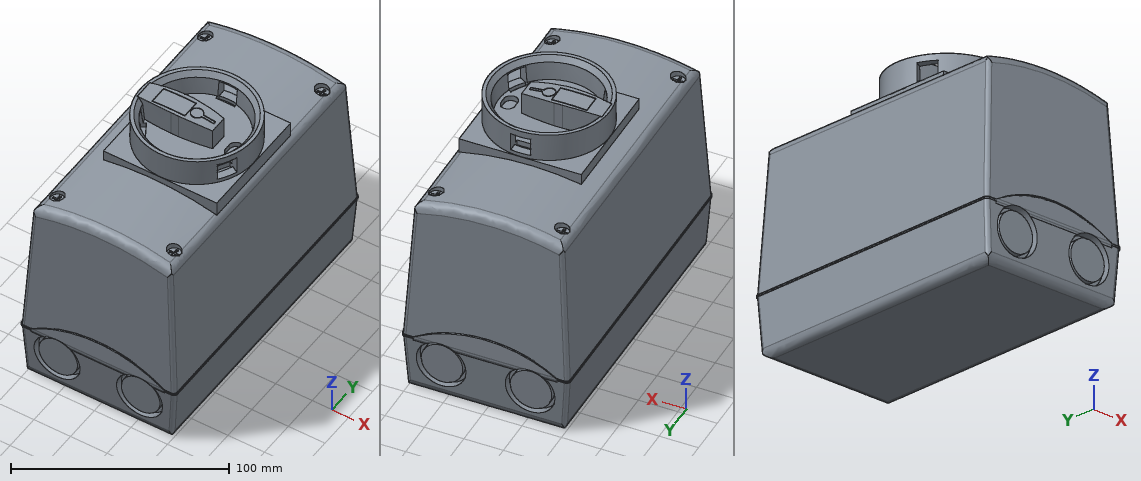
import cadquery as cq

clearance = 1.5

base_floor_half = (40.0, 75.9)
seam_half = (42.1, 77.2)
cover_top_half = (37.5, 73.6)
seam_bottom = 30.0
seam_top = 31.0
crown_height = 110.0
crown_radius = 142.5
corner_radius = 2.0
edge_radius = 4.6

lip_overhang = (0.39, 0.3)
lip_half = (seam_half[0] + lip_overhang[0], seam_half[1] + lip_overhang[1])

tongue_half_width = 36.4
tongue_height = 41.7
tongue_bottom = 29.0
tongue_step = 31.5
tongue_thickness = 3.1
slit_width = 0.8
slit_depth = 0.8

knockout_spacing = 45.1
knockout_height = 19.0
knockout_radius = 12.5
disc_radius = 10.5
disc_recess = 1.4
knockout_depth = 4.6

screw_x = 31.9
screw_y = 62.0
screw_radius = 3.5
screw_head_height = 104.1
cross_length = 5.3
cross_width = 1.1
cross_depth = 1.0

switch_x = 4.5
switch_y = -0.8
plate_side = 62.0
plate_bottom = 102.3
plate_top = 113.3
collar_top = 128.0
collar_radius = 30.8
rim_radius = 29.0
bore_radius = 26.6
dial_radius = 25.5
cone_bottom = 125.3
dial_top = 116.0

window_width = 10.0
window_bottom = 115.3
window_top = 124.5
window_inner = 23.5
window_angles = (90, 210, 330)

lock_slot_x = 20.1
lock_slot_length = 10.0
lock_slot_width = 7.0

handle_start = -29.3
handle_end = 11.6
handle_start_half = 5.3
handle_end_half = 4.8
handle_half_width = 6.8
handle_side_bow = 0.3
flat_start = -9.9
flat_end = -5.7
handle_top = 129.4
handle_start_top = 128.1
handle_end_top = 127.5
marking_depth = 0.3
label_start = -21.4
label_end = -3.5
label_width = 9.6
dot_radius = 3.1
pointer_end = 9.6
pointer_width = 1.4


def drafted_block(bottom_half, bottom, top_half, top):
    """Rectangular block whose sides lean from one size to another."""
    return (
        cq.Workplane("XY", origin=(0, 0, bottom))
        .rect(2 * bottom_half[0], 2 * bottom_half[1])
        .workplane(offset=top - bottom)
        .rect(2 * top_half[0], 2 * top_half[1])
        .loft(ruled=True)
    )


def upright_cylinder(x, y, radius, bottom, top):
    return cq.Workplane("XY", origin=(x, y, bottom)).circle(radius).extrude(top - bottom)


def switch_plane(height):
    """Horizontal plane centred on the switch axis."""
    return cq.Workplane("XY", origin=(switch_x, switch_y, height))


def round_corners(block):
    """Block with its four upright corner edges rounded."""
    return block.edges("not #Z").edges("not |X").edges("not |Y").fillet(corner_radius)


def make_base():
    """Tray with a rounded underside, trimmed to the rounded upright corners."""
    block = drafted_block(base_floor_half, 0, seam_half, seam_bottom)
    return block.faces("<Z").edges().fillet(edge_radius).intersect(round_corners(block))


def make_lip():
    return round_corners(drafted_block(lip_half, seam_bottom, lip_half, seam_top))


def make_cover():
    """Cover with a crowned, rounded top, trimmed to the rounded upright corners."""
    block = drafted_block(seam_half, seam_top, cover_top_half, crown_height)
    crown = (
        cq.Workplane("XZ", origin=(0, 0, crown_height - crown_radius))
        .circle(crown_radius)
        .extrude(lip_half[1], both=True)
    )
    crowned_block = block.intersect(crown)
    return crowned_block.faces(">Z").edges().fillet(edge_radius).intersect(round_corners(block))


def arch_prism(crest, start_y, end_y):
    """Segment under the tongue's arch, standing between two Y positions."""
    return (
        cq.Workplane("XZ", origin=(0, start_y, 0))
        .moveTo(-tongue_half_width, tongue_bottom)
        .lineTo(-tongue_half_width, seam_top)
        .threePointArc((0, crest), (tongue_half_width, seam_top))
        .lineTo(tongue_half_width, tongue_bottom)
        .close()
        .extrude(start_y - end_y)
    )


def cover_face_y(height):
    """Half length of the drafted cover at a height."""
    lean = (seam_half[1] - cover_top_half[1]) / (crown_height - seam_top)
    return seam_half[1] - lean * (height - seam_top)


def make_slit():
    """Cut into the cover that leaves a thin gap along the tongue's arch."""
    back_y = -cover_face_y(tongue_height) + slit_depth
    return arch_prism(tongue_height, back_y, -lip_half[1] - clearance)


def make_tongue():
    """Arched tongue, chamfered below the seam and leaning with the cover above it."""
    back_y = -lip_half[1] + tongue_thickness
    side_profile = (
        cq.Workplane("YZ", origin=(-tongue_half_width, 0, 0))
        .polyline([
            (back_y, tongue_bottom),
            (-seam_half[1], tongue_bottom),
            (-lip_half[1], seam_bottom),
            (-lip_half[1], tongue_step),
            (-cover_face_y(tongue_height), tongue_height),
            (back_y, tongue_height),
        ])
        .close()
        .extrude(2 * tongue_half_width)
    )
    arch = arch_prism(tongue_height - slit_width, back_y, -lip_half[1] - clearance)
    return side_profile.intersect(arch)


def make_knockouts():
    """Ring grooves, each around a disc set slightly below the end face."""
    face_y = -seam_half[1]
    centres = [(-knockout_spacing / 2, knockout_height), (knockout_spacing / 2, knockout_height)]
    outside = cq.Workplane("XZ", origin=(0, face_y - clearance, 0)).pushPoints(centres)
    recess = outside.circle(knockout_radius).extrude(-clearance - knockout_depth)
    disc = (
        cq.Workplane("XZ", origin=(0, face_y + disc_recess, 0))
        .pushPoints(centres)
        .circle(disc_radius)
        .extrude(-knockout_depth)
    )
    return recess.cut(disc)


def make_screw_recess(x, y):
    hole = upright_cylinder(x, y, screw_radius, screw_head_height, crown_height)
    cross_plane = cq.Workplane("XY", origin=(x, y, screw_head_height))
    for size in ((cross_length, cross_width), (cross_width, cross_length)):
        hole = hole.union(cross_plane.rect(*size).extrude(-cross_depth))
    return hole


def make_collar():
    plate = switch_plane(plate_bottom).rect(plate_side, plate_side).extrude(plate_top - plate_bottom)
    collar = (
        cq.Workplane("XZ")
        .polyline([
            (0, plate_top),
            (collar_radius, plate_top),
            (collar_radius, collar_top),
            (rim_radius, collar_top),
            (bore_radius, cone_bottom),
            (dial_radius, dial_top),
            (0, dial_top),
        ])
        .close()
        .revolve(360, (0, 0, 0), (0, 1, 0))
        .translate((switch_x, switch_y, 0))
    )
    return plate.union(collar)


def window_block(angle, bottom, top):
    """Radial block as wide as a window, reaching from the dial out past the collar."""
    length = collar_radius - window_inner + clearance
    block = cq.Workplane("XY").box(length, window_width, top - bottom, centered=(False, True, False))
    return (
        block.translate((window_inner, 0, bottom))
        .rotate((0, 0, 0), (0, 0, 1), angle)
        .translate((switch_x, switch_y, 0))
    )


def make_window(angle):
    """Window through the collar together with a deeper notch through the dial's edge."""
    bore = upright_cylinder(switch_x, switch_y, bore_radius, plate_top, dial_top)
    notch = window_block(angle, plate_top, dial_top).intersect(bore)
    return window_block(angle, window_bottom, window_top).union(notch)


def make_lock_slot():
    return (
        switch_plane(plate_top)
        .center(lock_slot_x, 0)
        .slot2D(lock_slot_length, lock_slot_width, 90)
        .extrude(dial_top - plate_top)
    )


def crown_solid(drop):
    """Solid below the handle's arched top, lowered by a drop."""
    middle = (handle_start + handle_end) / 2
    return (
        cq.Workplane("XZ", origin=(switch_x, switch_y, 0))
        .moveTo(handle_start, plate_top)
        .lineTo(handle_start, handle_start_top - drop)
        .threePointArc((middle, handle_top - drop), (handle_end, handle_end_top - drop))
        .lineTo(handle_end, plate_top)
        .close()
        .extrude(handle_half_width + clearance, both=True)
    )


def side_bulge(start, start_half, end, end_half):
    """Point on the gently bowed handle side halfway between two of its points."""
    return ((start + end) / 2, (start_half + end_half) / 2 + handle_side_bow)


def make_handle():
    rear = side_bulge(handle_start, handle_start_half, flat_start, handle_half_width)
    front = side_bulge(flat_end, handle_half_width, handle_end, handle_end_half)
    outline = (
        switch_plane(plate_top)
        .moveTo(handle_start, handle_start_half)
        .threePointArc(rear, (flat_start, handle_half_width))
        .lineTo(flat_end, handle_half_width)
        .threePointArc(front, (handle_end, handle_end_half))
        .lineTo(handle_end, -handle_end_half)
        .threePointArc((front[0], -front[1]), (flat_end, -handle_half_width))
        .lineTo(flat_start, -handle_half_width)
        .threePointArc((rear[0], -rear[1]), (handle_start, -handle_start_half))
        .close()
        .extrude(handle_top - plate_top + clearance)
    )
    return outline.intersect(crown_solid(0)).cut(make_markings())


def make_markings():
    """Shallow label field, dot and pointer engraved in the handle's top."""
    height = handle_top - plate_top + clearance
    label_centre = (label_start + label_end) / 2
    label = switch_plane(plate_top).center(label_centre, 0).rect(label_end - label_start, label_width)
    pointer = switch_plane(plate_top).center(pointer_end / 2, 0).rect(pointer_end, pointer_width)
    dot = switch_plane(plate_top).circle(dot_radius)
    markings = label.extrude(height).union(pointer.extrude(height)).union(dot.extrude(height))
    return markings.cut(crown_solid(marking_depth))


body = make_base().union(make_lip()).union(make_cover())

slit = make_slit()
body = body.cut(slit).cut(slit.mirror("XZ"))
tongue = make_tongue()
body = body.union(tongue).union(tongue.mirror("XZ"))
knockouts = make_knockouts()
body = body.cut(knockouts).cut(knockouts.mirror("XZ"))

for x in (-screw_x, screw_x):
    for y in (-screw_y, screw_y):
        body = body.cut(make_screw_recess(x, y))

switch = make_collar().cut(make_lock_slot())
for angle in window_angles:
    switch = switch.cut(make_window(angle))
switch = switch.union(make_handle())

result = body.union(switch)